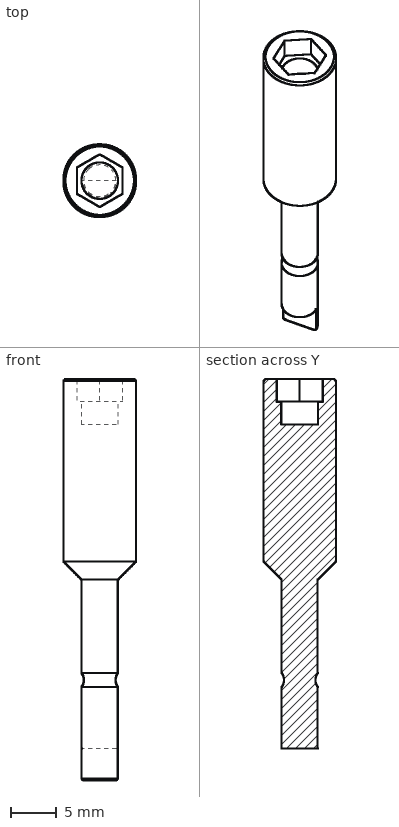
import cadquery as cq

barrel_diameter = 8.0
shank_diameter = 4.0
barrel_length = 20.0
shank_length = 22.0
shoulder_length = (barrel_diameter - shank_diameter) / 2
rim_chamfer = 0.25
tip_chamfer = 0.2

hex_across_flats = 5.0
hex_depth = 2.5
bore_diameter = 4.0
bore_depth = 2.5

groove_center_height = 11.0
groove_width = 1.5
groove_depth = 0.25

tip_length = 3.5

barrel_radius = barrel_diameter / 2
shank_radius = shank_diameter / 2
shoulder_top = shank_length + shoulder_length
total_length = shoulder_top + barrel_length


def make_body():
    """Revolve the outer profile: shank with groove, conical shoulder and barrel."""
    groove_bottom = groove_center_height - groove_width / 2
    groove_top = groove_center_height + groove_width / 2
    profile = (
        cq.Workplane("XZ")
        .lineTo(shank_radius - tip_chamfer, 0)
        .lineTo(shank_radius, tip_chamfer)
        .lineTo(shank_radius, groove_bottom)
        .threePointArc(
            (shank_radius - groove_depth, groove_center_height),
            (shank_radius, groove_top),
        )
        .lineTo(shank_radius, shank_length)
        .lineTo(barrel_radius, shoulder_top)
        .lineTo(barrel_radius, total_length - rim_chamfer)
        .lineTo(barrel_radius - rim_chamfer, total_length)
        .lineTo(0, total_length)
        .close()
    )
    return profile.revolve(360, (0, 0, 0), (0, 1, 0))


def make_socket():
    """Hexagonal recess with flats facing +X and -X, and a round blind bore below it."""
    hexagon = (
        cq.Workplane("XY", origin=(0, 0, total_length))
        .polygon(6, hex_across_flats, circumscribed=True)
        .extrude(-hex_depth)
    )
    bore = (
        cq.Workplane("XY", origin=(0, 0, total_length - hex_depth))
        .circle(bore_diameter / 2)
        .extrude(-bore_depth)
    )
    return hexagon.union(bore)


def make_tip_cut():
    """Block that removes the +Y half of the shank end."""
    return cq.Workplane("XY").box(
        shank_diameter, shank_diameter, tip_length, centered=(True, False, False)
    )


result = make_body().cut(make_socket()).cut(make_tip_cut())